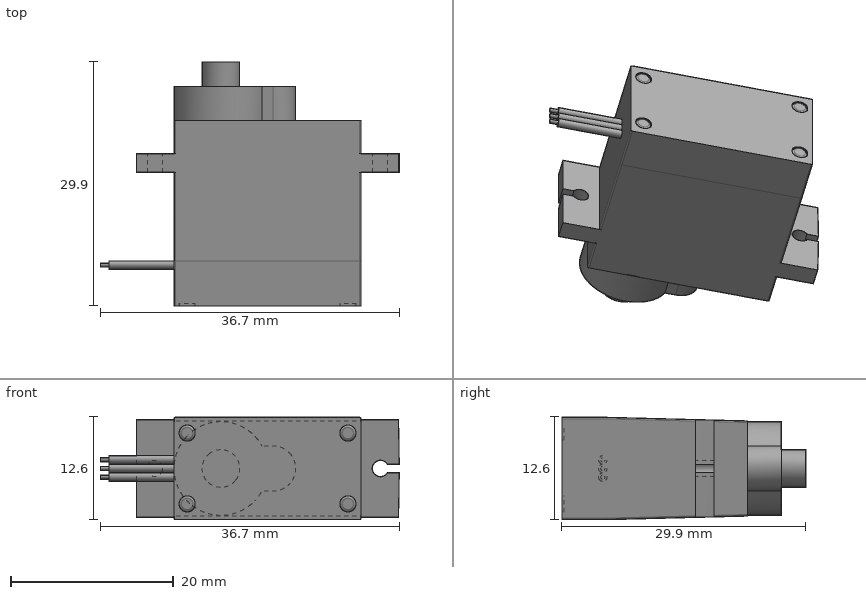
import cadquery as cq
import math


overall_width = 36.67
overall_length = 29.95

case_width = 22.95
case_length = 22.77
case_height = 12.58
straight_length = 5.55
taper_drop = 0.45
edge_round = 0.2

tab_start = 16.4
tab_thickness = 2.3
left_tab_reach = 4.62
right_tab_reach = 4.7
tab_crown = 0.1
keyhole_radius = 1.0
keyhole_offset = 2.4
keyhole_slot = 1.03

hub_radius = 5.75
side_hub_radius = 2.8
side_hub_spacing = 6.38
hub_length = 4.18
shaft_radius = 2.3
shaft_length = overall_length - case_length - hub_length

screw_radius = 1.0
screw_rim_round = 0.3
screw_spacing_x = 19.73
screw_spacing_z = 8.7

wire_count = 3
wire_pitch = 1.05
wire_radius = 0.5
core_radius = 0.25
core_bare_length = 1.03
cable_y = 5.02
cable_length = overall_width - case_width - right_tab_reach
insulation_length = cable_length - core_bare_length

hub_x = hub_radius
case_center_x = case_width / 2
front_height = case_height - 2 * taper_drop


def make_tapered_slab(x_start, x_end):
    """Side profile of the case, straight at the back and tapering to the front."""
    return (
        cq.Workplane("YZ", origin=(x_start, 0, 0))
        .moveTo(0, -case_height / 2)
        .lineTo(straight_length, -case_height / 2)
        .lineTo(case_length, -front_height / 2)
        .lineTo(case_length, front_height / 2)
        .lineTo(straight_length, case_height / 2)
        .lineTo(0, case_height / 2)
        .close()
        .extrude(x_end - x_start)
    )


def make_case_block():
    """Case with its long side edges rounded; the front and back edges stay sharp."""
    block = make_tapered_slab(0, case_width)
    long_edges = block.faces("<X or >X").edges("not(|Z)")
    return long_edges.fillet(edge_round)


def make_tabs():
    """Both tabs as one plate, trimmed to the taper of the case."""
    left = -left_tab_reach
    right = case_width + right_tab_reach
    half_height = case_height / 2
    plate = (
        cq.Workplane("XZ", origin=(0, tab_start + tab_thickness, 0))
        .moveTo(left, -half_height)
        .lineTo(right - tab_crown, -half_height)
        .threePointArc((right, 0), (right - tab_crown, half_height))
        .lineTo(left, half_height)
        .close()
        .extrude(tab_thickness)
    )
    plate = plate.intersect(make_tapered_slab(left, right))
    for hole_x, direction in ((-keyhole_offset, -1), (case_width + keyhole_offset, 1)):
        plate = plate.cut(make_keyhole(hole_x, direction))
    return plate


def make_keyhole(hole_x, direction):
    """Round hole with a slot that runs out through the tab end."""
    plane = cq.Workplane("XZ", origin=(hole_x, tab_start + tab_thickness, 0))
    hole = plane.circle(keyhole_radius).extrude(tab_thickness)
    slot = (
        plane.center(direction * right_tab_reach / 2, 0)
        .rect(right_tab_reach, keyhole_slot)
        .extrude(tab_thickness)
    )
    return hole.union(slot)


def make_hub_post(x, radius):
    """Round post standing on the front of the case."""
    post_end = case_length + hub_length
    return cq.Workplane("XZ", origin=(x, post_end, 0)).circle(radius).extrude(hub_length)


def make_hub():
    """Large round gear hub with a smaller round-ended lobe beside it."""
    main_post = make_hub_post(hub_x, hub_radius)
    side_post = make_hub_post(hub_x + side_hub_spacing, side_hub_radius)
    bridge = (
        cq.Workplane("XY", origin=(hub_x, case_length, 0))
        .box(side_hub_spacing, hub_length, 2 * side_hub_radius, centered=(False, False, True))
    )
    return main_post.union(bridge).union(side_post)


def make_screw_groove():
    """Ring cut left around a flush screw head with a rounded rim."""
    crown_radius = screw_radius - screw_rim_round
    arc_offset = screw_rim_round * math.sqrt(0.5)
    return (
        cq.Workplane("XY")
        .moveTo(crown_radius, 0)
        .threePointArc(
            (crown_radius + arc_offset, screw_rim_round - arc_offset),
            (screw_radius, screw_rim_round),
        )
        .lineTo(screw_radius, 0)
        .close()
        .revolve(360, (0, 0, 0), (0, 1, 0))
    )


def make_wire(z):
    """Insulated wire with a bare core at its free end."""
    side = cq.Workplane("YZ", origin=(0, cable_y, z))
    insulation = side.circle(wire_radius).extrude(-insulation_length)
    core = side.circle(core_radius).extrude(-cable_length)
    return insulation.union(core)


def make_housing():
    """Case, tabs, gear hub and cable as one body."""
    housing = make_case_block().union(make_tabs()).union(make_hub())
    for side_x in (-1, 1):
        for side_z in (-1, 1):
            screw_x = case_center_x + side_x * screw_spacing_x / 2
            screw_z = side_z * screw_spacing_z / 2
            housing = housing.cut(make_screw_groove().translate((screw_x, 0, screw_z)))
    for index in range(wire_count):
        wire_z = (index - (wire_count - 1) / 2) * wire_pitch
        housing = housing.union(make_wire(wire_z))
    return housing


def make_shaft():
    """Output shaft standing on the front of the gear hub."""
    return cq.Workplane("XZ", origin=(hub_x, overall_length, 0)).circle(shaft_radius).extrude(shaft_length)


housing = make_housing()
shaft = make_shaft()
result = cq.Compound.makeCompound([housing.val(), shaft.val()])